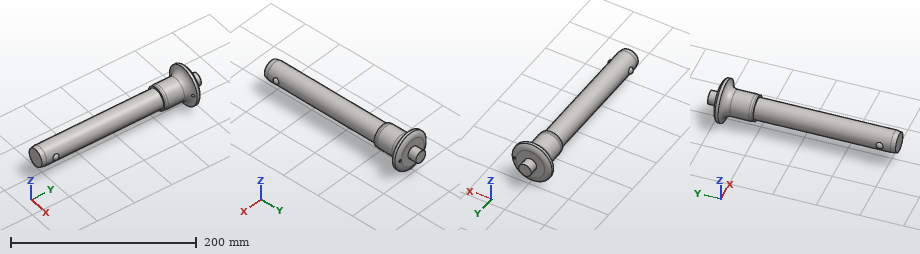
import cadquery as cq
import math

total_length = 216.8

shank_radius = 12.5
tip_radius = 11.5
tip_length = 5.6

collar_radius = 15.2
ring_radius = 14.7
ring_front_y = 162.4
ring_length = 2.0
collar_taper_length = 2.5

flange_radius = 25.05
rim_length = 3.5
crown_length = 3.5
crown_flat_radius = 18.0
flare_radius = flange_radius - collar_radius

button_radius = 7.8
button_length = 11.5

ball_radius = 4.3
ball_reach = 15.5
ball_y = 18.0

lanyard_hole_diameter = 3.0
lanyard_hole_x = 20.0

handle_back_y = total_length - button_length
rim_back_y = handle_back_y - crown_length
rim_front_y = rim_back_y - rim_length
flare_front_y = rim_front_y - flare_radius
taper_front_y = ring_front_y + ring_length
taper_back_y = taper_front_y + collar_taper_length


def turned_body():
    """Revolve the half profile, with a concave quarter-circle flare and a convex crown."""
    flare_mid_offset = flare_radius * math.cos(math.radians(45))
    flare_mid = (flange_radius - flare_mid_offset, flare_front_y + flare_mid_offset)
    crown_width = flange_radius - crown_flat_radius
    crown_radius = (crown_width**2 + crown_length**2) / (2 * crown_length)
    crown_half_angle = math.asin(crown_width / crown_radius) / 2
    crown_mid = (
        crown_flat_radius + crown_radius * math.sin(crown_half_angle),
        handle_back_y - crown_radius * (1 - math.cos(crown_half_angle)),
    )
    profile = (
        cq.Workplane("XY")
        .lineTo(tip_radius, 0)
        .lineTo(shank_radius, tip_length)
        .lineTo(shank_radius, ring_front_y)
        .lineTo(ring_radius, ring_front_y)
        .lineTo(ring_radius, taper_front_y)
        .lineTo(collar_radius, taper_back_y)
        .lineTo(collar_radius, flare_front_y)
        .threePointArc(flare_mid, (flange_radius, rim_front_y))
        .lineTo(flange_radius, rim_back_y)
        .threePointArc(crown_mid, (crown_flat_radius, handle_back_y))
        .lineTo(button_radius, handle_back_y)
        .lineTo(button_radius, total_length)
        .lineTo(0, total_length)
        .close()
    )
    return profile.revolve(360, (0, 0, 0), (0, 1, 0))


def locking_ball(side):
    """Ball partly sunk in the shank; side is -1 or +1 along X."""
    ball_x = side * (ball_reach - ball_radius)
    return cq.Workplane("XY").sphere(ball_radius).translate((ball_x, ball_y, 0))


def lanyard_hole():
    return (
        cq.Workplane("XZ", origin=(lanyard_hole_x, handle_back_y, 0))
        .circle(lanyard_hole_diameter / 2)
        .extrude(handle_back_y - flare_front_y)
    )


result = turned_body()
for side in (-1, 1):
    result = result.union(locking_ball(side))
result = result.cut(lanyard_hole())